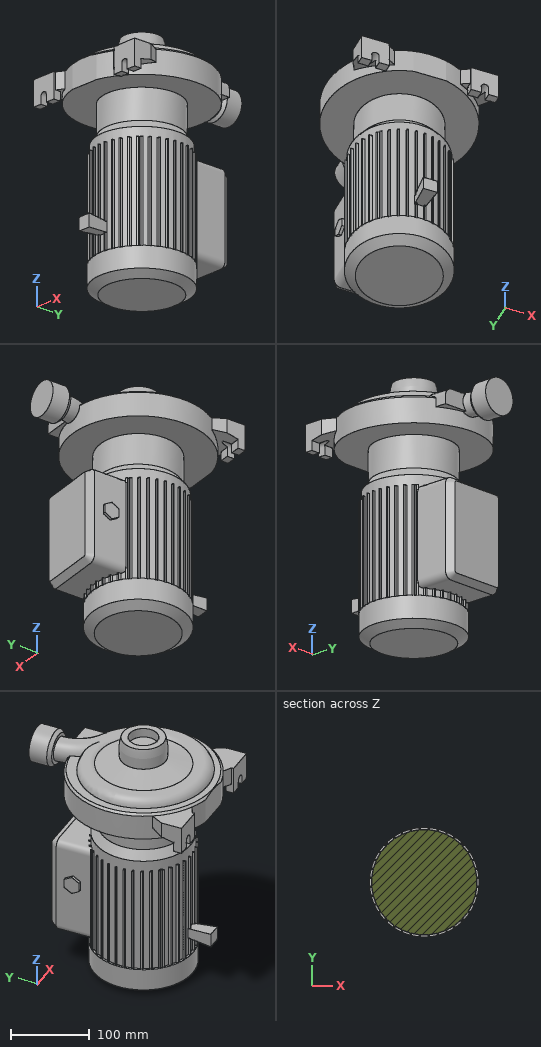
import cadquery as cq
import math


motor_radius = 67.0
rib_outer_radius = 70.0
ribs_per_quadrant = 10
rib_pitch_angle = 10.0
rib_width = 1.8
rib_start_z = 40.0
rib_end_z = 190.0
cap_chamfer_height = 8.6
cap_end_radius = 56.0
shoulder_start_z = 204.5
shoulder_end_z = 216.5
neck_radius = 58.0

ring_radius = 101.5
ring_bottom_z = 262.0
ring_top_z = 300.0
ring_chamfer = 3.0
ring_flat_y = -99.0

cone_base_radius = 66.0
cone_slope = 0.40
nozzle_radius = 31.0
nozzle_base_z = 321.5
nozzle_taper_z = 337.0
nozzle_tip_radius = 28.5
nozzle_taper_bulge = 0.6
overall_height = 350.0
inlet_radius = 19.5
inlet_depth = 13.0

tube_radius = 16.3
tube_path_radius = 73.6
volute_x = 1.5
volute_top_z = 313.4
volute_z = volute_top_z - tube_radius
outlet_x = 0.0
tail_radius = 11.0
tail_path_radius = 71.0
tail_top_z = 312.0
tail_z = tail_top_z - tail_radius
tail_section_count = 6
skirt_base_radius = 86.2
skirt_top_radius = 81.0
skirt_height = 1.0

collar_start_y = 119.5
collar_end_y = 150.0
collar_radius = 25.5
collar_chamfer_length = 5.0
collar_neck_radius = 21.3

block_inner_x = 10.0
block_outer_x = 51.6
block_inner_y = 74.0
block_outer_y = 104.3
block_top_z = 308.0
block_bottom_z = 285.0
block_fillet = 12.0

base_y = -100.0
foot_outer_x = 95.0
foot_inner_x = 56.6
foot_side_top_y = -71.4
foot_inner_step_y = -97.0
foot_bottom_z = 258.7
foot_top_z = ring_top_z - ring_chamfer
foot_wall = 11.3
web_outer_z = 272.0
web_inner_z = 279.5
web_inner_y = -52.7
outer_root = (80.0, -43.4)
inner_root = (40.0, -87.6)
slot_width = 10.0
slot_top_z = 274.4

box_half_width = 47.3
box_outer_y = 110.5
box_bottom_z = 50.7
box_top_z = 189.5
box_corner_radius = 10.0
box_bevel_length = 10.0
box_bevel_inset = 7.0
hex_across_flats = 21.3
hex_y = 76.6
hex_z = 130.7
hex_height = 4.0

leg_z = 72.8
leg_end_width = 19.5
leg_root_width = 14.5
leg_root_y = -66.0


def motor_body():
    """Turned motor housing from the end cap up to the casing ring."""
    return (
        cq.Workplane("XZ")
        .moveTo(0, 0)
        .lineTo(cap_end_radius, 0)
        .lineTo(rib_outer_radius, cap_chamfer_height)
        .lineTo(rib_outer_radius, rib_start_z)
        .lineTo(motor_radius, rib_start_z)
        .lineTo(motor_radius, shoulder_start_z)
        .lineTo(neck_radius, shoulder_end_z)
        .lineTo(neck_radius, ring_bottom_z)
        .lineTo(0, ring_bottom_z)
        .close()
        .revolve(360, (0, 0, 0), (0, 1, 0))
    )


def cooling_ribs():
    """Straight ribs in four quadrant groups, each group parallel to X or to Y."""
    height = rib_end_z - rib_start_z
    slats = cq.Workplane("XY")
    for index in range(ribs_per_quadrant):
        angle = math.radians((index - (ribs_per_quadrant - 1) / 2) * rib_pitch_angle)
        offset = motor_radius * math.sin(angle)
        slat = cq.Workplane("XY").box(
            rib_width, 2 * rib_outer_radius, height, centered=(True, True, False)
        )
        slat = slat.translate((offset, 0, rib_start_z))
        slats = slats.add(slat).add(slat.rotate((0, 0, 0), (0, 0, 1), 90))
    envelope = (
        cq.Workplane("XY")
        .workplane(offset=rib_start_z)
        .circle(rib_outer_radius)
        .extrude(height)
    )
    return slats.combine().intersect(envelope)


def casing_ring():
    """Round casing, chamfered on top and flattened on its lower side."""
    ring = (
        cq.Workplane("XY")
        .workplane(offset=ring_bottom_z)
        .circle(ring_radius)
        .extrude(ring_top_z - ring_bottom_z)
        .faces(">Z")
        .chamfer(ring_chamfer)
    )
    flat_cut = cq.Workplane("XY").box(
        2 * ring_radius, ring_radius, overall_height, centered=(True, False, False)
    )
    return ring.cut(flat_cut.translate((0, ring_flat_y - ring_radius, 0)))


def inlet():
    """Shallow cone, tapered nozzle and its blind inlet bore."""
    cone_edge_z = nozzle_base_z - cone_slope * (cone_base_radius - nozzle_radius)
    taper_middle = (
        (nozzle_radius + nozzle_tip_radius) / 2 + nozzle_taper_bulge,
        (nozzle_taper_z + overall_height) / 2,
    )
    floor_z = overall_height - inlet_depth
    return (
        cq.Workplane("XZ")
        .moveTo(0, ring_bottom_z)
        .lineTo(cone_base_radius, ring_bottom_z)
        .lineTo(cone_base_radius, cone_edge_z)
        .lineTo(nozzle_radius, nozzle_base_z)
        .lineTo(nozzle_radius, nozzle_taper_z)
        .threePointArc(taper_middle, (nozzle_tip_radius, overall_height))
        .lineTo(inlet_radius, overall_height)
        .lineTo(inlet_radius, floor_z)
        .lineTo(0, floor_z)
        .close()
        .revolve(360, (0, 0, 0), (0, 1, 0))
    )


def volute_point(angle, radius=tube_path_radius):
    """Point on a circle about the volute centre."""
    return (volute_x + radius * math.cos(angle), radius * math.sin(angle))


outlet_offset = outlet_x - volute_x
bend_radius = (outlet_offset**2 + collar_start_y**2 - tube_path_radius**2) / (
    2 * (tube_path_radius - outlet_offset)
)
bend_center = (outlet_x + bend_radius, collar_start_y)
leave_angle = math.atan2(bend_center[1], bend_center[0] - volute_x)


def volute_tube():
    """Round tube around the casing that bends away into the outlet."""
    start = volute_point(math.pi)
    halfway = volute_point((leave_angle - math.pi) / 2)
    bend_mid_angle = (leave_angle + 2 * math.pi) / 2
    bend_middle = (
        bend_center[0] + bend_radius * math.cos(bend_mid_angle),
        bend_center[1] + bend_radius * math.sin(bend_mid_angle),
    )
    path = (
        cq.Workplane("XY")
        .workplane(offset=volute_z)
        .moveTo(*start)
        .threePointArc(halfway, volute_point(leave_angle))
        .threePointArc(bend_middle, (outlet_x, collar_start_y))
        .lineTo(outlet_x, collar_start_y + collar_chamfer_length)
    )
    section = cq.Workplane("XZ").center(start[0], volute_z).circle(tube_radius)
    return section.sweep(path)


def volute_tail():
    """Narrowing start of the volute, running from the -X side into the outlet bend."""
    wires = []
    for index in range(tail_section_count):
        step = index / (tail_section_count - 1)
        angle = math.pi + step * (leave_angle - math.pi)
        path_radius = tube_path_radius + step * (tail_path_radius - tube_path_radius)
        x, y = volute_point(angle, path_radius)
        center = cq.Vector(x, y, volute_z + step * (tail_z - volute_z))
        radius = tube_radius + step * (tail_radius - tube_radius)
        tangent = cq.Vector(-math.sin(angle), math.cos(angle), 0)
        wires.append(cq.Wire.makeCircle(radius, center, tangent))
    return cq.Workplane(obj=cq.Solid.makeLoft(wires))


def volute_skirt():
    """Thin conical step between the casing face and the volute."""
    return cq.Workplane(
        obj=cq.Solid.makeCone(
            skirt_base_radius, skirt_top_radius, skirt_height, cq.Vector(0, 0, ring_top_z)
        )
    )


def outlet_collar():
    """Collar at the end of the outlet pipe, chamfered towards the pump."""
    return (
        cq.Workplane("XY")
        .moveTo(0, collar_start_y)
        .lineTo(collar_neck_radius, collar_start_y)
        .lineTo(collar_radius, collar_start_y + collar_chamfer_length)
        .lineTo(collar_radius, collar_end_y)
        .lineTo(0, collar_end_y)
        .close()
        .revolve(360, (0, 0, 0), (0, 1, 0))
        .translate((outlet_x, 0, volute_z))
    )


def outlet_block():
    """Block under the outlet bend with its outer top edge rounded."""
    block = cq.Workplane("XY").box(
        block_outer_x - block_inner_x,
        block_outer_y - block_inner_y,
        block_top_z - block_bottom_z,
        centered=False,
    )
    block = block.edges(">X and >Z").fillet(block_fillet)
    return block.translate((block_inner_x, block_inner_y, block_bottom_z))


def foot():
    """Foot on the +X side: a wall with an arched slot and a sloping web back to the casing."""
    body = (
        cq.Workplane("XY")
        .workplane(offset=foot_bottom_z)
        .polyline(
            [
                (foot_inner_x, base_y),
                (foot_outer_x, base_y),
                (foot_outer_x, foot_side_top_y),
                outer_root,
                inner_root,
                (foot_inner_x, foot_inner_step_y),
            ]
        )
        .close()
        .extrude(foot_top_z - foot_bottom_z)
    )
    wall_y = base_y + foot_wall
    wall_relief = cq.Workplane("XY").box(
        foot_inner_x, -base_y, web_outer_z - foot_bottom_z, centered=False
    )
    wall_relief = wall_relief.translate((0, base_y, foot_bottom_z))
    side_profile = (
        cq.Workplane("YZ")
        .polyline(
            [
                (base_y, foot_bottom_z),
                (wall_y, foot_bottom_z),
                (wall_y, web_outer_z),
                (web_inner_y, web_inner_z),
                (0, web_inner_z),
                (0, foot_top_z),
                (base_y, foot_top_z),
            ]
        )
        .close()
        .extrude(foot_outer_x)
    )
    slot_x = (foot_inner_x + foot_outer_x) / 2
    slot_length = 2 * (slot_top_z - foot_bottom_z)
    slot = (
        cq.Workplane("XZ", origin=(slot_x, 0, foot_bottom_z))
        .slot2D(slot_length, slot_width, 90)
        .extrude(-base_y)
    )
    return body.intersect(side_profile).cut(wall_relief).cut(slot)


def terminal_box():
    """Box on the +Y side, rounded along Y, bevelled at its outer face, with a hexagon plug."""
    height = box_top_z - box_bottom_z
    middle_z = (box_top_z + box_bottom_z) / 2
    box = (
        cq.Workplane("XZ", origin=(0, 0, middle_z))
        .rect(2 * box_half_width, height)
        .extrude(-box_outer_y)
        .edges("|Y")
        .fillet(box_corner_radius)
        .faces(">Y")
        .chamfer(box_bevel_length, box_bevel_inset)
    )
    hexagon = (
        cq.Workplane("YZ", origin=(-box_half_width, hex_y, hex_z))
        .transformed(rotate=(0, 0, 90))
        .polygon(6, hex_across_flats / math.cos(math.pi / 6))
        .extrude(-hex_height)
    )
    return box.union(hexagon)


def motor_leg():
    """Square leg on the -Y side that widens towards the base plane."""
    return (
        cq.Workplane("XZ", origin=(0, base_y, leg_z))
        .rect(leg_end_width, leg_end_width)
        .workplane(offset=base_y - leg_root_y)
        .rect(leg_root_width, leg_root_width)
        .loft()
    )


right_foot = foot()
left_foot = right_foot.mirror("YZ")

result = motor_body()
for feature in (
    cooling_ribs(),
    casing_ring(),
    inlet(),
    volute_skirt(),
    volute_tube(),
    volute_tail(),
    outlet_collar(),
    outlet_block(),
    right_foot,
    left_foot,
    terminal_box(),
    motor_leg(),
):
    result = result.union(feature)